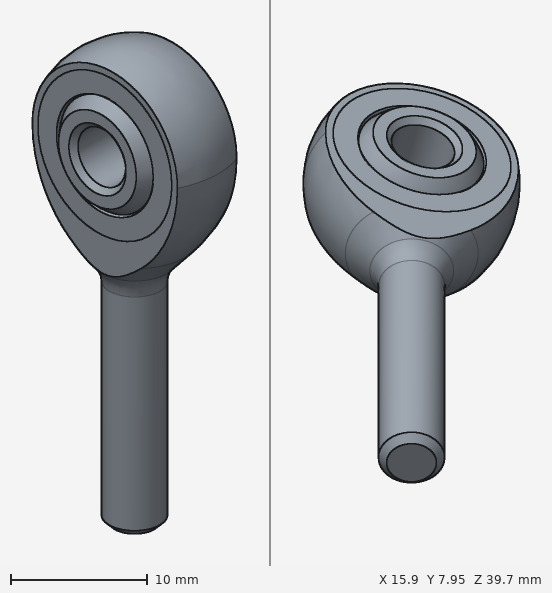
import cadquery as cq
import math


head_radius = 7.95
head_thickness = 6.35
shank_end_z = -31.75
shank_radius = 2.42
shank_chamfer = 0.6
flank_end_z = -8.0
cone_angle = math.radians(42)
neck_radius = 2.5

race_outer_radius = 6.7
race_mouth_radius = 4.85
race_mouth_depth = 0.25

ball_face_radius = 3.9
ball_width = 7.95
bore_radius = 2.4
bore_chamfer = 0.48
ball_radius = math.hypot(ball_face_radius, ball_width / 2)


def y_cylinder(radius, length):
    """Cylinder along Y, centred on the origin."""
    return cq.Workplane("XZ").circle(radius).extrude(length / 2, both=True)


def make_housing():
    """Turned head and shank, with flat sides and a seat for the race."""
    flank_radius = -flank_end_z / math.sin(cone_angle)

    def flank_point(angle):
        return (
            head_radius - flank_radius * (1 - math.cos(angle)),
            -flank_radius * math.sin(angle),
        )

    flank_end = flank_point(cone_angle)

    def neck_x(angle):
        return shank_radius + neck_radius * (1 - math.cos(angle))

    cone_end_x = neck_x(cone_angle)
    cone_end_z = flank_end_z - (flank_end[0] - cone_end_x) / math.tan(cone_angle)
    neck_end_z = cone_end_z - neck_radius * math.sin(cone_angle)
    neck_middle = (
        neck_x(cone_angle / 2),
        neck_end_z + neck_radius * math.sin(cone_angle / 2),
    )
    crown_middle = head_radius * math.sqrt(0.5)

    turned = (
        cq.Workplane("XZ")
        .moveTo(0, head_radius)
        .threePointArc((crown_middle, crown_middle), (head_radius, 0))
        .threePointArc(flank_point(cone_angle / 2), flank_end)
        .lineTo(cone_end_x, cone_end_z)
        .threePointArc(neck_middle, (shank_radius, neck_end_z))
        .lineTo(shank_radius, shank_end_z + shank_chamfer)
        .lineTo(shank_radius - shank_chamfer, shank_end_z)
        .lineTo(0, shank_end_z)
        .close()
        .revolve(360, (0, 0, 0), (0, 1, 0))
    )
    slab = cq.Workplane("XY").box(
        2 * head_radius, head_thickness, -2 * shank_end_z
    )
    return turned.intersect(slab).cut(y_cylinder(race_outer_radius, head_thickness))


def make_race():
    """Ring flush with the head, with a spherical seat and bevelled mouths."""
    half_thickness = head_thickness / 2
    seat_edge_y = half_thickness - race_mouth_depth
    seat_edge_radius = math.sqrt(ball_radius**2 - seat_edge_y**2)
    return (
        cq.Workplane("XY")
        .moveTo(race_outer_radius, -half_thickness)
        .lineTo(race_outer_radius, half_thickness)
        .lineTo(race_mouth_radius, half_thickness)
        .lineTo(seat_edge_radius, seat_edge_y)
        .threePointArc((ball_radius, 0), (seat_edge_radius, -seat_edge_y))
        .lineTo(race_mouth_radius, -half_thickness)
        .close()
        .revolve(360, (0, 0, 0), (0, 1, 0))
    )


def make_ball():
    """Sphere with two flat faces and a bore chamfered at both ends."""
    half_width = ball_width / 2
    return (
        cq.Workplane("XY")
        .moveTo(bore_radius, bore_chamfer - half_width)
        .lineTo(bore_radius + bore_chamfer, -half_width)
        .lineTo(ball_face_radius, -half_width)
        .threePointArc((ball_radius, 0), (ball_face_radius, half_width))
        .lineTo(bore_radius + bore_chamfer, half_width)
        .lineTo(bore_radius, half_width - bore_chamfer)
        .close()
        .revolve(360, (0, 0, 0), (0, 1, 0))
    )


housing = make_housing()
race = make_race()
ball = make_ball()

result = cq.Compound.makeCompound([housing.val(), race.val(), ball.val()])